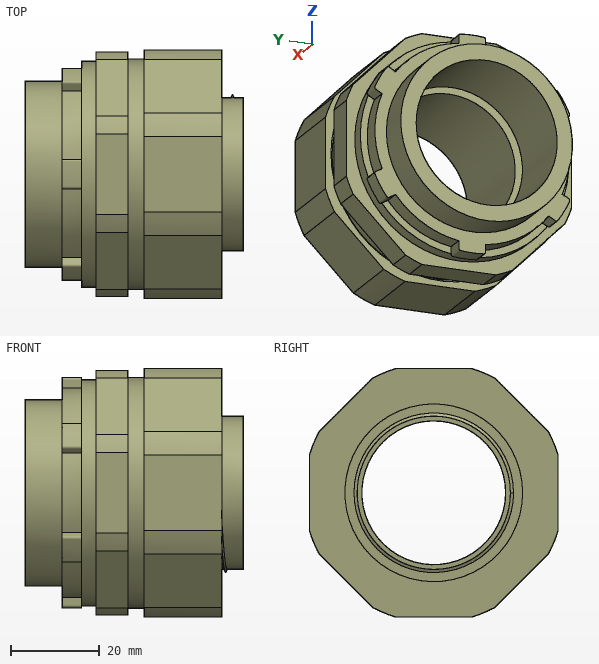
import cadquery as cq
import math

total_length = 49.1
locknut_length = 4.4
washer_length = 3.2
flange_length = 7.2
neck_gap = 3.7
relief_depth = 1.0
nut_length = 17.5
ferrule_projection = 4.8

nut_end = total_length - ferrule_projection
nut_start = nut_end - nut_length
flange_end = nut_start - neck_gap
flange_start = flange_end - flange_length
washer_start = flange_start - washer_length
locknut_start = washer_start - locknut_length
entry_bore_end = 20.0
ferrule_start = 21.5
neck_engagement = 10.5
neck_end = nut_start + neck_engagement

spigot_diameter = 42.0
bore_diameter = 34.5
conduit_bore_diameter = 40.0
neck_diameter = 52.0
relief_diameter = 53.38
washer_diameter = 51.0

side_count = 8
flange_across_flats = 55.1
flange_corner_diameter = 58.0
nut_across_flats = 56.0
nut_corner_diameter = 58.54

locknut_diameter = 47.6
lug_tip_diameter = 52.0
lug_width = 6.6
lug_corner_radius = 0.5
lug_count = 6

ferrule_diameter = 34.5
ferrule_bore_diameter = 32.3
ferrule_flange_length = 1.5
thread_pitch = 6.3
thread_crest_diameter = 35.9
thread_base_width = 0.9
thread_root_overlap = 0.2
thread_end = 46.7


def cylinder(start, end, diameter):
    """Solid cylinder on the X axis between two stations."""
    return cq.Workplane("YZ", origin=(start, 0, 0)).circle(diameter / 2).extrude(end - start)


def octagon(start, end, across_flats, corner_diameter):
    """Octagonal prism with flats facing Y and Z and its corners turned round about the axis."""
    prism = (
        cq.Workplane("YZ", origin=(start, 0, 0))
        .transformed(rotate=(0, 0, 180 / side_count))
        .polygon(side_count, across_flats / math.cos(math.pi / side_count))
        .extrude(end - start)
    )
    return prism.intersect(cylinder(start, end, corner_diameter))


def make_body():
    """Entry spigot, octagonal flange and the neck that carries the gland nut."""
    spigot = cylinder(0, flange_start, spigot_diameter)
    flange = octagon(flange_start, flange_end, flange_across_flats, flange_corner_diameter)
    neck = cylinder(flange_end, neck_end, neck_diameter)
    entry_bore = cylinder(0, entry_bore_end, bore_diameter)
    conduit_bore = cylinder(entry_bore_end, neck_end, conduit_bore_diameter)
    return spigot.union(flange).union(neck).cut(entry_bore).cut(conduit_bore)


def make_locknut():
    """Round locknut with evenly spaced lugs, one of them pointing along +Z."""
    locknut = cylinder(locknut_start, washer_start, locknut_diameter)
    lug_corner_zone = (
        (locknut_start, -lug_width, locknut_diameter / 2),
        (washer_start, lug_width, lug_tip_diameter),
    )
    lug = (
        cq.Workplane("XY", origin=(locknut_start, 0, 0))
        .box(locknut_length, lug_width, lug_tip_diameter, centered=(False, True, False))
        .intersect(cylinder(locknut_start, washer_start, lug_tip_diameter))
        .edges("|X")
        .edges(cq.selectors.BoxSelector(*lug_corner_zone))
        .fillet(lug_corner_radius)
    )
    for index in range(lug_count):
        locknut = locknut.union(lug.rotate((0, 0, 0), (1, 0, 0), index * 360 / lug_count))
    return locknut.cut(cylinder(locknut_start, washer_start, spigot_diameter))


def make_washer():
    """Sealing washer between locknut and flange."""
    return cylinder(washer_start, flange_start, washer_diameter).cut(
        cylinder(washer_start, flange_start, spigot_diameter)
    )


def make_nut():
    """Octagonal gland nut, bored for the neck and opened around the ferrule."""
    nut = octagon(nut_start, nut_end, nut_across_flats, nut_corner_diameter)
    relief = cylinder(nut_start, nut_start + relief_depth, relief_diameter)
    neck_socket = cylinder(nut_start, neck_end, neck_diameter)
    outlet = cylinder(neck_end, nut_end, conduit_bore_diameter)
    return nut.cut(relief).cut(neck_socket).cut(outlet)


def make_thread():
    """One turn of a right-handed triangular ridge, ending on the +Y side of the ferrule."""
    root_radius = ferrule_diameter / 2 - thread_root_overlap
    crest_radius = thread_crest_diameter / 2
    half_width = thread_base_width / 2
    path = cq.Wire.makeHelix(thread_pitch, thread_pitch, root_radius)
    ridge = (
        cq.Workplane("XZ")
        .polyline([(root_radius, -half_width), (crest_radius, 0), (root_radius, half_width)])
        .close()
        .sweep(cq.Workplane(path), isFrenet=True)
    )
    ridge = ridge.rotate((0, 0, 0), (0, 1, 0), 90)
    ridge = ridge.rotate((0, 0, 0), (1, 0, 0), 90)
    return ridge.translate((thread_end - thread_pitch, 0, 0))


def make_ferrule():
    """Thin sleeve with a flange fitting the conduit bore and a helical ridge on its free end."""
    sleeve = cylinder(ferrule_start, total_length, ferrule_diameter)
    flange = cylinder(ferrule_start, ferrule_start + ferrule_flange_length, conduit_bore_diameter)
    passage = cylinder(ferrule_start, total_length, ferrule_bore_diameter)
    return sleeve.union(flange).cut(passage).union(make_thread())


body = make_body()
locknut = make_locknut()
washer = make_washer()
nut = make_nut()
ferrule = make_ferrule()

parts = [body, locknut, washer, nut, ferrule]
result = cq.Compound.makeCompound([part.val() for part in parts])